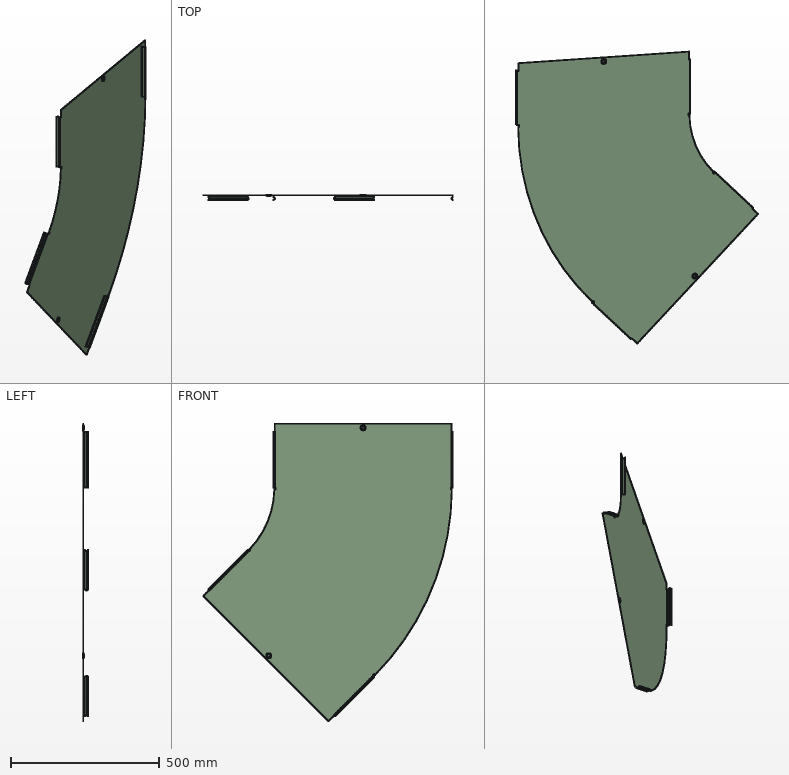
import cadquery as cq
import math


sheet = 1.0
bend_angle = 45.0
inner_radius = 300.0
outer_radius = 900.0
arm_inset = 1.0
arm_length = 216.0

strip_length = 188.0
strip_reach = 4.0
strip_depth = 16.0
strip_web = 5.0
strip_root = 2.0
groove_depth = 5.0

notch_length = 6.0
notch_depth = 3.0

screw_from_end = 14.0
head_diameter = 18.0
head_height = 1.0
washer_diameter = 17.0
washer_height = 0.5
tip_diameter = 10.0
tip_height = 2.0

arm_inner = inner_radius + arm_inset
arm_outer = outer_radius - arm_inset
arm_middle = (arm_inner + arm_outer) / 2


def box(x_range, y_range, z_range):
    """Axis-aligned box between pairs of limits."""
    size = [high - low for low, high in (x_range, y_range, z_range)]
    corner = (x_range[0], y_range[0], z_range[0])
    return cq.Workplane("XY").box(*size, centered=False).translate(corner)


def disc(diameter, y_low, y_high):
    """Disc on the screw axis of the upper arm."""
    axis_point = (arm_middle, y_high, arm_length - screw_from_end)
    return (
        cq.Workplane("XZ", origin=axis_point)
        .circle(diameter / 2)
        .extrude(y_high - y_low)
    )


def make_bend():
    """Ring sector, swept from the +X direction down to the lower arm."""
    def polar(radius, angle):
        turn = math.radians(angle)
        return (radius * math.cos(turn), -radius * math.sin(turn))

    return (
        cq.Workplane("XZ")
        .moveTo(*polar(inner_radius, 0))
        .lineTo(*polar(outer_radius, 0))
        .threePointArc(polar(outer_radius, bend_angle / 2), polar(outer_radius, bend_angle))
        .lineTo(*polar(inner_radius, bend_angle))
        .threePointArc(polar(inner_radius, bend_angle / 2), polar(inner_radius, 0))
        .close()
        .extrude(sheet)
    )


def make_strip(edge, outward):
    """Snap strip on the arm edge at X = edge; outward is +1 or -1 along X.

    The sheet bends towards -Y, then folds inward and out again as a V groove.
    """
    half = sheet / 2
    crest = strip_reach - half
    groove_y = -sheet - (strip_web + strip_depth) / 2
    centreline = [
        (-strip_root, -half),
        (crest, -half),
        (crest, -sheet - strip_web),
        (crest - groove_depth, groove_y),
        (crest, -sheet - strip_depth + half),
    ]
    path = [(edge + outward * reach, y) for reach, y in centreline]
    return cq.Workplane("XY").polyline(path).offset2D(half, "arc").extrude(strip_length)


def make_notch(edge):
    """Cutter for the relief notch, centred on an arm edge just below the strip."""
    return box((edge - notch_depth, edge + notch_depth), (-sheet, 0), (-notch_length, 0))


def make_arm():
    """Upper arm with its two strips and its lock screw."""
    arm = box((arm_inner, arm_outer), (-sheet, 0), (0, arm_length))
    arm = arm.union(make_strip(arm_inner, -1)).union(make_strip(arm_outer, 1))
    arm = arm.union(disc(head_diameter, 0, head_height))
    arm = arm.union(disc(washer_diameter, -sheet - washer_height, -sheet))
    return arm.union(disc(tip_diameter, -sheet - tip_height, -sheet))


def to_lower_arm(shape):
    """Mirror image of an upper-arm shape at the other end of the bend."""
    return shape.mirror("XY").rotate((0, 0, 0), (0, 1, 0), bend_angle)


bend = make_bend()
for notch_edge in (arm_inner, arm_outer):
    notch = make_notch(notch_edge)
    bend = bend.cut(notch).cut(to_lower_arm(notch))

upper_arm = make_arm()
result = bend.union(upper_arm).union(to_lower_arm(upper_arm))